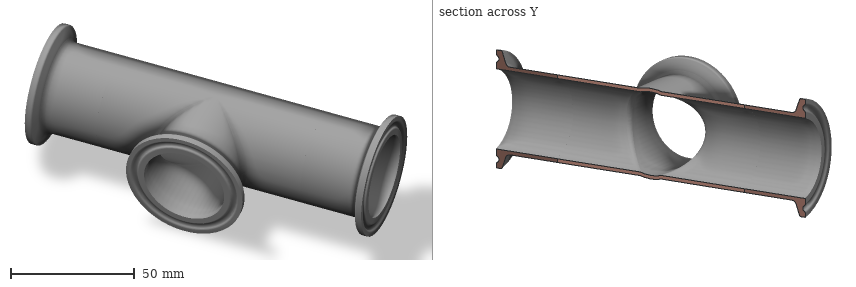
import cadquery as cq
import math

RUN_LENGTH = 146.0
BRANCH_REACH = 34.9
TUBE_RADIUS = 38.1 / 2
BORE_RADIUS = 34.7 / 2
RUN_FERRULE_LENGTH = 28.8
BRANCH_FERRULE_LENGTH = 14.0
CROTCH_FILLET = 1.8

FLANGE_RADIUS = 50.5 / 2
RIM_THICKNESS = 2.8
CLAMP_ANGLE = 20.0
RIM_FILLET = 0.7
NECK_FILLET = 1.9

GROOVE_RADIUS = 21.6
GROOVE_WIDTH = 2.6
GROOVE_DEPTH = 1.2
GROOVE_LIP_FILLET = 0.7

TEE_HALF_LENGTH = RUN_LENGTH / 2 - RUN_FERRULE_LENGTH
TEE_BRANCH_REACH = BRANCH_REACH - BRANCH_FERRULE_LENGTH
CONE_RISE = (FLANGE_RADIUS - TUBE_RADIUS) * math.tan(math.radians(CLAMP_ANGLE))
NECK_HEIGHT = RIM_THICKNESS + CONE_RISE


def circles_at(radius, height):
    """Select circular edges of the given radius and height on the Z axis."""
    margin = 0.01
    outer = radius + margin
    inner = radius - margin
    return cq.selectors.BoxSelector(
        (-outer, -outer, height - margin), (outer, outer, height + margin), boundingbox=True
    ) - cq.selectors.BoxSelector(
        (-inner, -inner, height - margin), (inner, inner, height + margin), boundingbox=True
    )


def make_ferrule(length):
    """Clamp ferrule along +Z, with its sealing face at Z = 0."""
    groove_inner = GROOVE_RADIUS - GROOVE_WIDTH / 2
    groove_outer = GROOVE_RADIUS + GROOVE_WIDTH / 2
    ferrule = (
        cq.Workplane("XZ")
        .moveTo(BORE_RADIUS, 0)
        .lineTo(groove_inner, 0)
        .threePointArc((GROOVE_RADIUS, GROOVE_DEPTH), (groove_outer, 0))
        .lineTo(FLANGE_RADIUS, 0)
        .lineTo(FLANGE_RADIUS, RIM_THICKNESS)
        .lineTo(TUBE_RADIUS, NECK_HEIGHT)
        .lineTo(TUBE_RADIUS, length)
        .lineTo(BORE_RADIUS, length)
        .close()
        .revolve(360, (0, 0, 0), (0, 1, 0))
    )
    ferrule = ferrule.edges(circles_at(TUBE_RADIUS, NECK_HEIGHT)).fillet(NECK_FILLET)
    ferrule = ferrule.edges(circles_at(FLANGE_RADIUS, RIM_THICKNESS)).fillet(RIM_FILLET)
    for lip_radius in (groove_inner, groove_outer):
        ferrule = ferrule.edges(circles_at(lip_radius, 0)).fillet(GROOVE_LIP_FILLET)
    return ferrule


def run_cylinder(radius):
    return cq.Workplane("YZ").circle(radius).extrude(TEE_HALF_LENGTH, both=True)


def branch_cylinder(radius):
    return cq.Workplane("XZ").circle(radius).extrude(TEE_BRANCH_REACH)


def filleted_tee(radius):
    """Solid run and branch of one radius; their meeting curves are elliptical arcs."""
    solid = run_cylinder(radius).union(branch_cylinder(radius))
    return solid.edges("%ELLIPSE").fillet(CROTCH_FILLET)


def make_tee():
    """Equal tee body with through bores and a crotch filleted inside and out."""
    body = filleted_tee(TUBE_RADIUS)
    bore = filleted_tee(BORE_RADIUS)
    return body.cut(bore)


tee = make_tee()

run_ferrules = []
for side in (-1, 1):
    ferrule = (
        make_ferrule(RUN_FERRULE_LENGTH)
        .rotate((0, 0, 0), (0, 1, 0), -side * 90)
        .translate((side * RUN_LENGTH / 2, 0, 0))
    )
    run_ferrules.append(ferrule)

branch_ferrule = (
    make_ferrule(BRANCH_FERRULE_LENGTH)
    .rotate((0, 0, 0), (1, 0, 0), -90)
    .translate((0, -BRANCH_REACH, 0))
)

result = cq.Compound.makeCompound(
    [tee.val(), *[ferrule.val() for ferrule in run_ferrules], branch_ferrule.val()]
)